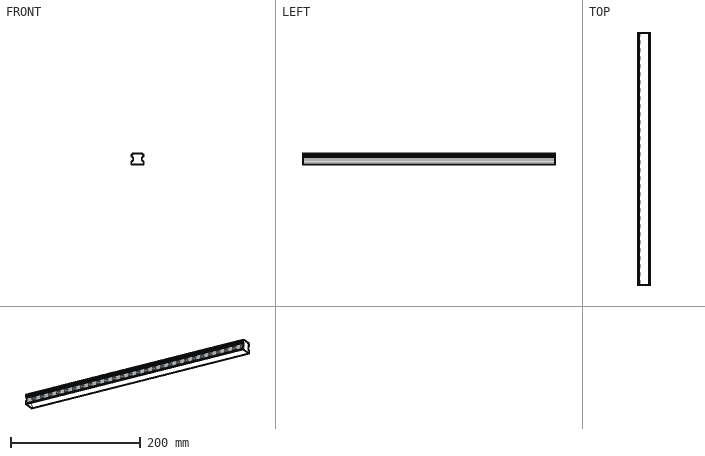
import cadquery as cq
import math

length = 390.0
width = 20.0
height = 17.5

head_bevel = 2.7
head_side_bottom = 13.5

neck_width = 13.3
neck_top_radius = 2.6
neck_bottom_radius = 0.85

shoulder_top = 7.5
shoulder_radius = 0.85
bottom_bevel = 1.0

upper_race_width = 2.5
upper_race_depth = 0.43
lower_race_width = 2.65
lower_race_depth = 0.3
lower_race_offset = 1.87

half_width = width / 2
half_neck = neck_width / 2
overhang = half_width - half_neck

neck_top = head_side_bottom - overhang
foot_side_top = shoulder_top - overhang


def rail_body():
    """Sharp-edged rail, extruded along Y and centred on the origin in X and Y."""
    right_side = [
        (half_width - bottom_bevel, 0),
        (half_width, bottom_bevel),
        (half_width, foot_side_top),
        (half_neck, shoulder_top),
        (half_neck, neck_top),
        (half_width, head_side_bottom),
        (half_width, height - head_bevel),
        (half_width - head_bevel, height),
    ]
    left_side = [(-x, z) for x, z in reversed(right_side)]
    section = cq.Workplane("XZ").polyline(right_side + left_side).close()
    return section.extrude(length / 2, both=True)


def round_edges(body, x, z, radius):
    """Round the pair of lengthwise edges at (x, z) and (-x, z)."""
    for side in (1, -1):
        edge = cq.selectors.NearestToPointSelector((side * x, 0, z))
        body = body.edges(edge).fillet(radius)
    return body


def cut_races(body, x, z, slope, race_width, depth):
    """Cut the pair of races centred at (x, z) and (-x, z) on 45 degree faces.

    slope is 1 where the faces look upward and -1 where they look downward.
    """
    radius = (race_width**2 / 4 + depth**2) / (2 * depth)
    rod_offset = (radius - depth) / math.sqrt(2)
    rod_x = x + rod_offset
    rod_z = z + slope * rod_offset
    rods = (
        cq.Workplane("XZ")
        .pushPoints([(rod_x, rod_z), (-rod_x, rod_z)])
        .circle(radius)
        .extrude(length / 2, both=True)
    )
    return body.cut(rods)


result = rail_body()

result = round_edges(result, half_neck, neck_top, neck_top_radius)
result = round_edges(result, half_neck, shoulder_top, neck_bottom_radius)
result = round_edges(result, half_width, foot_side_top, shoulder_radius)

upper_inset = head_bevel / 2
upper_x = half_width - upper_inset
upper_z = height - upper_inset
result = cut_races(result, upper_x, upper_z, 1, upper_race_width, upper_race_depth)

lower_inset = lower_race_offset / math.sqrt(2)
lower_x = half_width - lower_inset
lower_z = head_side_bottom - lower_inset
result = cut_races(result, lower_x, lower_z, -1, lower_race_width, lower_race_depth)